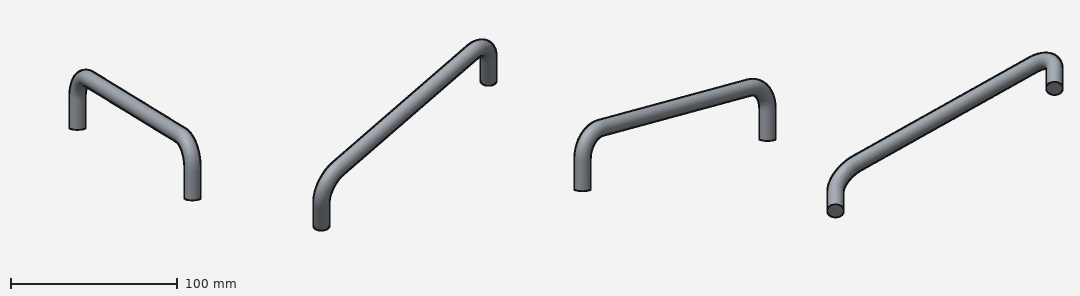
import cadquery as cq

overall_length = 170.8
overall_height = 40.0
rod_diameter = 10.0
bend_radius = 15.9

rod_radius = rod_diameter / 2
leg_x = overall_length / 2 - rod_radius
grip_z = overall_height - rod_radius
leg_top_z = grip_z - bend_radius
grip_end_x = leg_x - bend_radius

centreline = (
    cq.Workplane("XZ")
    .moveTo(-leg_x, 0)
    .lineTo(-leg_x, leg_top_z)
    .radiusArc((-grip_end_x, grip_z), bend_radius)
    .lineTo(grip_end_x, grip_z)
    .radiusArc((leg_x, leg_top_z), bend_radius)
    .lineTo(leg_x, 0)
)

result = cq.Workplane("XY").center(-leg_x, 0).circle(rod_radius).sweep(centreline)